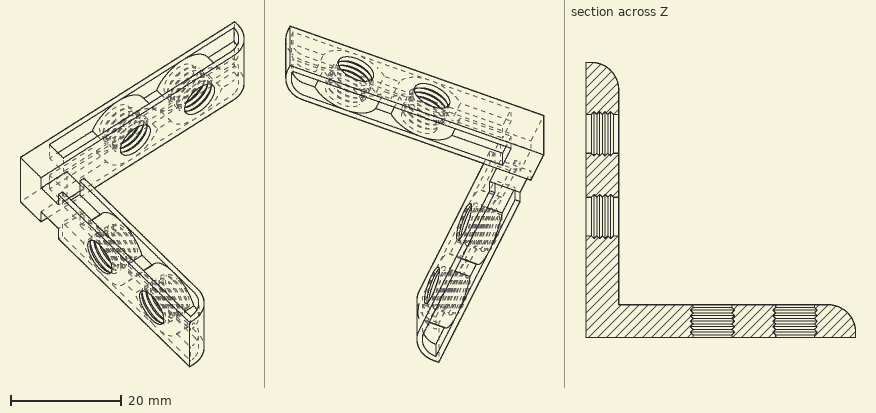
import cadquery as cq
import math

x_leg_length = 49.0
y_leg_length = 50.0
leg_thickness = 6.0
height = 13.0
mid_height = height / 2

wall = 1.0
web_thickness = 5.0
tip_radius = 5.0
channel_depth = (height - web_thickness) / 2

neck_length = 5.0
neck_height = 7.0
neck_end = leg_thickness + neck_length

boss_diameter = height
hole_diameter = 7.0
hole_spacing = 15.0
x_leg_first_hole = 23.0
y_leg_first_hole = 22.0
thread_pitch = 1.0
thread_depth = 0.5
x_leg_groove_count = 5
y_leg_groove_count = 4


def leg_outline(length):
    """Closed XY outline of a leg along X, its inner corner at the tip rounded."""
    arc_center_x = length - tip_radius
    arc_center_y = leg_thickness - tip_radius
    diagonal = tip_radius * math.sqrt(0.5)
    return (
        cq.Workplane("XY")
        .lineTo(length, 0)
        .lineTo(length, arc_center_y)
        .threePointArc(
            (arc_center_x + diagonal, arc_center_y + diagonal),
            (arc_center_x, leg_thickness),
        )
        .lineTo(0, leg_thickness)
        .close()
    )


def channel_outline(start, length):
    """Closed XY outline of the channel, its tip arc concentric with the leg's.

    The arc springs from the channel's near side, as its radius is the full channel width.
    """
    channel_radius = leg_thickness - 2 * wall
    arc_center_x = length - wall - channel_radius
    diagonal = channel_radius * math.sqrt(0.5)
    return (
        cq.Workplane("XY")
        .moveTo(start, wall)
        .lineTo(length - wall, wall)
        .threePointArc(
            (arc_center_x + diagonal, wall + diagonal),
            (arc_center_x, leg_thickness - wall),
        )
        .lineTo(start, leg_thickness - wall)
        .close()
    )


def thread_cutter(position, groove_count):
    """Bore along Y carrying evenly spaced V-shaped thread grooves."""
    bore_radius = hole_diameter / 2
    plain_end = (leg_thickness - groove_count * thread_pitch) / 2
    outline = cq.Workplane("XY").lineTo(bore_radius, 0).lineTo(bore_radius, plain_end)
    for groove in range(groove_count):
        groove_start = plain_end + groove * thread_pitch
        outline = outline.lineTo(bore_radius + thread_depth, groove_start + thread_pitch / 2)
        outline = outline.lineTo(bore_radius, groove_start + thread_pitch)
    outline = outline.lineTo(bore_radius, leg_thickness).lineTo(0, leg_thickness).close()
    cutter = outline.revolve(360, (0, 0, 0), (0, 1, 0))
    return cutter.translate((position, 0, mid_height))


def make_leg(length, channel_start, first_hole, groove_count):
    """Leg along X with a channel above and below its web, bosses and tapped holes."""
    leg = leg_outline(length).extrude(height)
    channel = channel_outline(channel_start, length).extrude(channel_depth)
    leg = leg.cut(channel).cut(channel.translate((0, 0, height - channel_depth)))
    for position in (first_hole, first_hole + hole_spacing):
        boss = (
            cq.Workplane("XZ", origin=(position, 0, mid_height))
            .circle(boss_diameter / 2)
            .extrude(-leg_thickness)
        )
        leg = leg.union(boss).cut(thread_cutter(position, groove_count))
    return leg


def cut_neck(body):
    """Notch the X leg above and below the neck through its full thickness."""
    notch_depth = (height - neck_height) / 2
    notch = cq.Workplane("XY").box(neck_length, leg_thickness, notch_depth, centered=False)
    for bottom in (0, height - notch_depth):
        body = body.cut(notch.translate((leg_thickness, 0, bottom)))
    return body


x_leg = cut_neck(make_leg(x_leg_length, neck_end, x_leg_first_hole, x_leg_groove_count))

y_leg = (
    make_leg(y_leg_length, leg_thickness, y_leg_first_hole, y_leg_groove_count)
    .mirror("XZ")
    .rotate((0, 0, 0), (0, 0, 1), 90)
)

result = x_leg.union(y_leg)